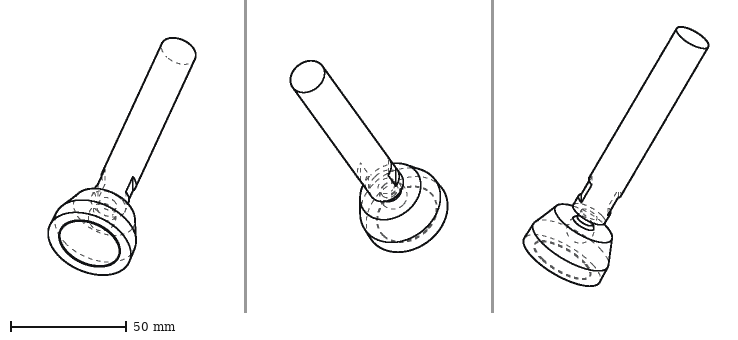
import cadquery as cq
import math

TOTAL_LENGTH = 120.0
BASE_Y = -TOTAL_LENGTH / 2

FOOT_BASE_DIAMETER = 38.0
FOOT_SHOULDER_DIAMETER = 37.5
FOOT_TOP_DIAMETER = 28.3
FOOT_SHOULDER_HEIGHT = 8.0
FOOT_HEIGHT = 19.9

GROOVE_OUTER_DIAMETER = 28.0
GROOVE_INNER_DIAMETER = 27.5
GROOVE_DEPTH = 0.5

SHAFT_DIAMETER = 16.0
SHAFT_START_HEIGHT = 25.0
NECK_DIAMETER = 7.8
NECK_START_HEIGHT = 21.4
BALL_DIAMETER = 12.0

FLAT_SPACING = 13.0
FLAT_LENGTH = 9.5
FLAT_START_HEIGHT = 30.0

ball_radius = BALL_DIAMETER / 2
ball_center_height = NECK_START_HEIGHT - math.sqrt(ball_radius**2 - (NECK_DIAMETER / 2) ** 2)


def cylinder(diameter, start_height, length):
    """Cylinder along +Y, starting at a height above the foot base."""
    plane = cq.Plane(origin=(0, BASE_Y + start_height, 0), xDir=(1, 0, 0), normal=(0, 1, 0))
    return cq.Workplane(plane).circle(diameter / 2).extrude(length)


def make_ball():
    return cq.Workplane("XY").sphere(ball_radius).translate((0, BASE_Y + ball_center_height, 0))


def make_wrench_flat_cutter(side):
    """Block outside one flat; side is +1 or -1 along X."""
    block_width = SHAFT_DIAMETER / 2
    return cq.Workplane("XY").box(block_width, FLAT_LENGTH, SHAFT_DIAMETER).translate((
        side * (FLAT_SPACING + block_width) / 2,
        BASE_Y + FLAT_START_HEIGHT + FLAT_LENGTH / 2,
        0,
    ))


def make_stem():
    shaft = cylinder(SHAFT_DIAMETER, SHAFT_START_HEIGHT, TOTAL_LENGTH - SHAFT_START_HEIGHT)
    for side in (-1, 1):
        shaft = shaft.cut(make_wrench_flat_cutter(side))
    neck = cylinder(NECK_DIAMETER, ball_center_height, SHAFT_START_HEIGHT - ball_center_height)
    return shaft.union(neck).union(make_ball())


def make_foot():
    foot_top_y = BASE_Y + FOOT_HEIGHT
    body = (
        cq.Workplane("XY")
        .moveTo(0, BASE_Y)
        .lineTo(FOOT_BASE_DIAMETER / 2, BASE_Y)
        .lineTo(FOOT_SHOULDER_DIAMETER / 2, BASE_Y + FOOT_SHOULDER_HEIGHT)
        .lineTo(FOOT_TOP_DIAMETER / 2, foot_top_y)
        .lineTo(0, foot_top_y)
        .close()
        .revolve(360, (0, 0), (0, 1))
    )
    groove_core = cylinder(GROOVE_INNER_DIAMETER, 0, GROOVE_DEPTH)
    groove = cylinder(GROOVE_OUTER_DIAMETER, 0, GROOVE_DEPTH).cut(groove_core)
    return body.cut(groove).cut(make_ball())


stem = make_stem()
foot = make_foot()

result = cq.Compound.makeCompound([stem.val(), foot.val()])